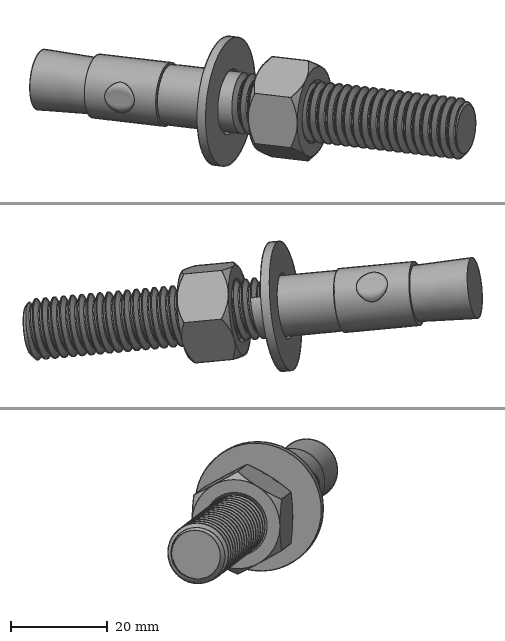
import cadquery as cq
import math


bolt_length = 95.25
bolt_diameter = 12.7
neck_diameter = 11.4
taper_length = 16.2
shoulder_x = 28.6
shoulder_diameter = 12.6
shoulder_taper_length = 1.9

thread_turns = 25
thread_turns_length = 48.6
thread_pitch = thread_turns_length / thread_turns
thread_overrun_turns = 1.5
thread_root_diameter = 10.2
thread_crest_width = 0.24
thread_flank_angle = 30.0
thread_start_x = 45.2
thread_cutter_clearance = 0.2
tip_chamfer = 1.1

sleeve_start_x = 12.4
sleeve_end_x = 28.4
sleeve_diameter = 13.3

bump_center_x = 20.3
bump_diameter = 6.7
bump_shoulder_height = 2.5
bump_shoulder_y = 6.7
bump_flat_length = 4.4
bump_flat_height = 2.4
bump_flat_y = 6.8
bump_base_y = 5.7

washer_start_x = 40.5
washer_thickness = 1.9
washer_diameter = 27.0
washer_bore = 13.7

nut_start_x = 50.3
nut_thickness = 11.0
nut_rotation = 90
nut_sides = 6
nut_width = 18.8
nut_countersink_diameter = 13.3


def revolve_about_x(points):
    """Revolve a closed outline of (x, radius) points about the X axis."""
    return cq.Workplane("XY").polyline(points).close().revolve(360, (0, 0, 0), (1, 0, 0))


def make_neck_profile():
    """Outline of the reduced neck, from the tapered end to the plain shank."""
    outer = bolt_diameter / 2
    neck = neck_diameter / 2
    return [
        (0, outer),
        (taper_length, neck),
        (shoulder_x, neck),
        (shoulder_x, shoulder_diameter / 2),
        (shoulder_x + shoulder_taper_length, outer),
    ]


def make_thread_cutter():
    """Helical groove that runs from the plain shank out past the bolt tip."""
    root = thread_root_diameter / 2
    outer = bolt_diameter / 2
    top = outer + thread_cutter_clearance
    widening = math.tan(math.radians(thread_flank_angle))
    outer_half = (thread_pitch - thread_crest_width) / 2
    root_half = outer_half - (outer - root) * widening
    top_half = outer_half + thread_cutter_clearance * widening
    corners = [(root, -root_half), (top, -top_half), (top, top_half), (root, root_half)]

    helix_length = (thread_turns + thread_overrun_turns) * thread_pitch
    helices = [
        cq.Wire.makeHelix(thread_pitch, helix_length, radius).translate(cq.Vector(0, 0, offset))
        for radius, offset in corners
    ]
    following = helices[1:] + helices[:1]
    faces = [cq.Face.makeRuledSurface(first, second) for first, second in zip(helices, following)]
    for ends in ([h.startPoint() for h in helices], [h.endPoint() for h in helices]):
        faces.append(cq.Face.makeFromWires(cq.Wire.makePolygon(ends, close=True)))
    groove = cq.Workplane(cq.Solid.makeSolid(cq.Shell.makeShell(faces)))

    return (
        groove.rotate((0, 0, 0), (0, 0, 1), 90)
        .rotate((0, 0, 0), (0, 1, 0), 90)
        .translate((thread_start_x, 0, 0))
    )


def make_bolt():
    """Stepped and tapered rod with a chamfered tip and a helical groove along its far half."""
    outer = bolt_diameter / 2
    blank = revolve_about_x(
        [(0, 0)] + make_neck_profile() + [
            (bolt_length - tip_chamfer, outer),
            (bolt_length, outer - tip_chamfer),
            (bolt_length, 0),
        ]
    )
    return blank.cut(make_thread_cutter(), clean=False)


def make_bump():
    """Rounded bump on the -Y side, with an elliptical flat on top."""
    half = bump_diameter / 2
    return (
        cq.Workplane("XZ", origin=(bump_center_x, -bump_base_y, 0))
        .ellipse(half, half)
        .workplane(offset=bump_shoulder_y - bump_base_y)
        .ellipse(half, bump_shoulder_height)
        .workplane(offset=bump_flat_y - bump_shoulder_y)
        .ellipse(bump_flat_length / 2, bump_flat_height / 2)
        .loft()
    )


def make_sleeve(bolt):
    """Tube fitted to the bolt neck, with a bump on the -Y and +Y sides."""
    tube = (
        cq.Workplane("YZ", origin=(sleeve_start_x, 0, 0))
        .circle(sleeve_diameter / 2)
        .extrude(sleeve_end_x - sleeve_start_x)
    )
    bump = make_bump()
    return tube.union(bump).union(bump.mirror("XZ")).cut(bolt, clean=False)


def make_washer():
    """Flat ring that clears the plain shank."""
    return (
        cq.Workplane("YZ", origin=(washer_start_x, 0, 0))
        .circle(washer_diameter / 2)
        .circle(washer_bore / 2)
        .extrude(washer_thickness)
    )


def make_countersink(face_x, inward):
    """45 degree cone from the countersink diameter on a nut face down to a point on the axis."""
    mouth = nut_countersink_diameter / 2
    return revolve_about_x([(face_x, 0), (face_x, mouth), (face_x + inward * mouth, 0)])


def make_nut(bolt):
    """Chamfered hexagon, countersunk at both ends, whose inner thread mates with the bolt."""
    end_x = nut_start_x + nut_thickness
    corner_diameter = nut_width / math.cos(math.pi / nut_sides)
    corner = corner_diameter / 2
    face = nut_width / 2
    chamfer = corner - face
    hexagon = (
        cq.Workplane("YZ", origin=(nut_start_x, 0, 0))
        .polygon(nut_sides, corner_diameter)
        .extrude(nut_thickness)
        .rotate((0, 0, 0), (1, 0, 0), nut_rotation)
    )
    envelope = revolve_about_x([
        (nut_start_x, 0),
        (nut_start_x, face),
        (nut_start_x + chamfer, corner),
        (end_x - chamfer, corner),
        (end_x, face),
        (end_x, 0),
    ])
    blank = hexagon.intersect(envelope)
    for face_x, inward in ((nut_start_x, 1), (end_x, -1)):
        blank = blank.cut(make_countersink(face_x, inward))
    return blank.cut(bolt, clean=False)


bolt = make_bolt()
sleeve = make_sleeve(bolt)
washer = make_washer()
nut = make_nut(bolt)

result = cq.Compound.makeCompound([body.solids().val() for body in (bolt, sleeve, washer, nut)])